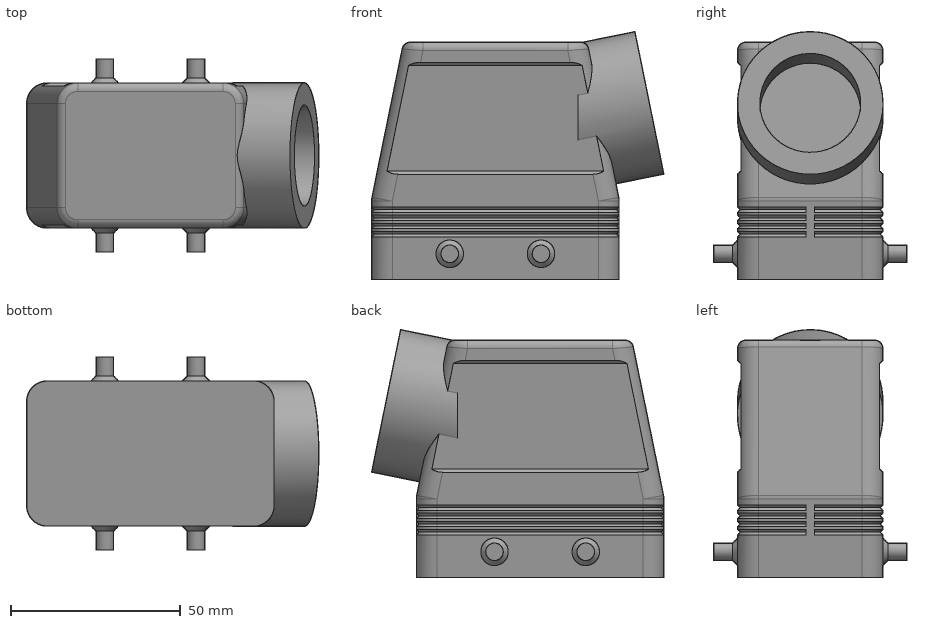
import cadquery as cq
import math

BODY_LENGTH = 73.05
BODY_WIDTH = 42.9
BODY_HEIGHT = 70.0
BEND_HEIGHT = 23.7
TAPER_ANGLE = 11.5
BEND_RADIUS = 5.0
CORNER_RADIUS = 6.1
TOP_RADIUS = 2.5

RECESS_DEPTH = 0.95
RECESS_BOTTOM = 32.0
RECESS_TOP = 63.1

GROOVE_COUNT = 4
GROOVE_PITCH = 2.4
GROOVE_FIRST_HEIGHT = 13.4
GROOVE_DEPTH = 0.8
GROOVE_GAP = 2.5

PIN_DIAMETER = 5.2
PIN_COLLAR_DIAMETER = 8.1
PIN_COLLAR_HEIGHT = 1.5
PIN_SPACING = 26.9
PIN_HEIGHT = 7.6
PIN_TIP_SPAN = 57.0

TUBE_DIAMETER = 42.95
BORE_DIAMETER = 29.75
OVERALL_LENGTH = 86.2
OVERALL_HEIGHT = 73.1
TUBE_START_X = 24.3

OVERLAP = 0.9

taper = math.radians(TAPER_ANGLE)
half_length = BODY_LENGTH / 2
half_width = BODY_WIDTH / 2


def wall_x(height):
    """Outer X of the leaning end wall at a height above the bend."""
    return half_length - (height - BEND_HEIGHT) * math.tan(taper)


def make_body():
    top_half_length = wall_x(BODY_HEIGHT)
    body = (
        cq.Workplane("XZ")
        .moveTo(-half_length, 0)
        .lineTo(half_length, 0)
        .lineTo(half_length, BEND_HEIGHT)
        .lineTo(top_half_length, BODY_HEIGHT)
        .lineTo(-top_half_length, BODY_HEIGHT)
        .lineTo(-half_length, BEND_HEIGHT)
        .close()
        .extrude(half_width, both=True)
    )
    bend_edges = cq.selectors.BoxSelector(
        (-BODY_LENGTH, -BODY_WIDTH, BEND_HEIGHT - OVERLAP),
        (BODY_LENGTH, BODY_WIDTH, BEND_HEIGHT + OVERLAP),
    )
    body = body.edges(bend_edges).edges("|Y").fillet(BEND_RADIUS)
    body = body.edges("|Z").fillet(CORNER_RADIUS)
    return body.faces(">Z").edges().fillet(TOP_RADIUS)


def make_recess():
    """Cutter for the recess on the -Y side, with 45 degree ends."""
    floor_y = half_width - RECESS_DEPTH
    outer_y = half_width + OVERLAP
    flare = outer_y - floor_y
    return (
        cq.Workplane("YZ")
        .moveTo(-floor_y, RECESS_BOTTOM)
        .lineTo(-floor_y, RECESS_TOP)
        .lineTo(-outer_y, RECESS_TOP + flare)
        .lineTo(-outer_y, RECESS_BOTTOM - flare)
        .close()
        .extrude(half_length, both=True)
    )


def make_groove(height):
    """Ring cutter with a 45 degree V section, interrupted at the end walls."""
    groove_width = 2 * GROOVE_DEPTH
    outline = cq.Sketch().rect(BODY_LENGTH, BODY_WIDTH).vertices().fillet(CORNER_RADIUS)
    lower_core = cq.Workplane("XY").placeSketch(outline).extrude(GROOVE_DEPTH, taper=45)
    upper_core = lower_core.mirror("XY").translate((0, 0, groove_width))
    ring = (
        cq.Workplane("XY")
        .rect(BODY_LENGTH + OVERLAP, BODY_WIDTH + OVERLAP)
        .extrude(groove_width)
        .cut(lower_core)
        .cut(upper_core)
    )
    gap = cq.Workplane("XY").box(BODY_LENGTH + 2 * OVERLAP, GROOVE_GAP, 3 * groove_width)
    return ring.cut(gap).translate((0, 0, height - GROOVE_DEPTH))


def make_pin(x):
    """Pin with a conical collar on the -Y side."""
    tip_y = PIN_TIP_SPAN / 2
    pin_radius = PIN_DIAMETER / 2
    root_y = half_width - OVERLAP
    collar_y = half_width + PIN_COLLAR_HEIGHT
    pin = (
        cq.Workplane("XY")
        .moveTo(0, -root_y)
        .lineTo(PIN_COLLAR_DIAMETER / 2, -root_y)
        .lineTo(PIN_COLLAR_DIAMETER / 2, -half_width)
        .lineTo(pin_radius, -collar_y)
        .lineTo(pin_radius, -tip_y)
        .lineTo(0, -tip_y)
        .close()
        .revolve(360, (0, 0), (0, 1))
    )
    return pin.translate((x, 0, PIN_HEIGHT))


def make_tube_and_bore():
    radius = TUBE_DIAMETER / 2
    end_x = OVERALL_LENGTH - half_length - radius * math.sin(taper)
    end_z = OVERALL_HEIGHT - radius * math.cos(taper)
    inward = (-math.cos(taper), 0, -math.sin(taper))
    end_plane = cq.Plane(origin=(end_x, 0, end_z), xDir=(0, 1, 0), normal=inward)
    bore_depth = (end_x - wall_x(end_z)) * math.cos(taper)
    bar = cq.Workplane(end_plane).circle(radius).extrude(BODY_LENGTH)
    tube_space = (
        cq.Workplane("YZ", origin=(TUBE_START_X, 0, 0))
        .rect(2 * BODY_WIDTH, 2 * OVERALL_HEIGHT)
        .extrude(BODY_LENGTH)
    )
    tube = bar.intersect(tube_space)
    bore = cq.Workplane(end_plane).circle(BORE_DIAMETER / 2).extrude(bore_depth)
    return tube, bore


result = make_body()

recess = make_recess()
result = result.cut(recess).cut(recess.mirror("XZ"))

for index in range(GROOVE_COUNT):
    result = result.cut(make_groove(GROOVE_FIRST_HEIGHT + index * GROOVE_PITCH))

for pin_x in (-PIN_SPACING / 2, PIN_SPACING / 2):
    pin = make_pin(pin_x)
    result = result.union(pin).union(pin.mirror("XZ"))

tube, bore = make_tube_and_bore()
result = result.union(tube).cut(bore)